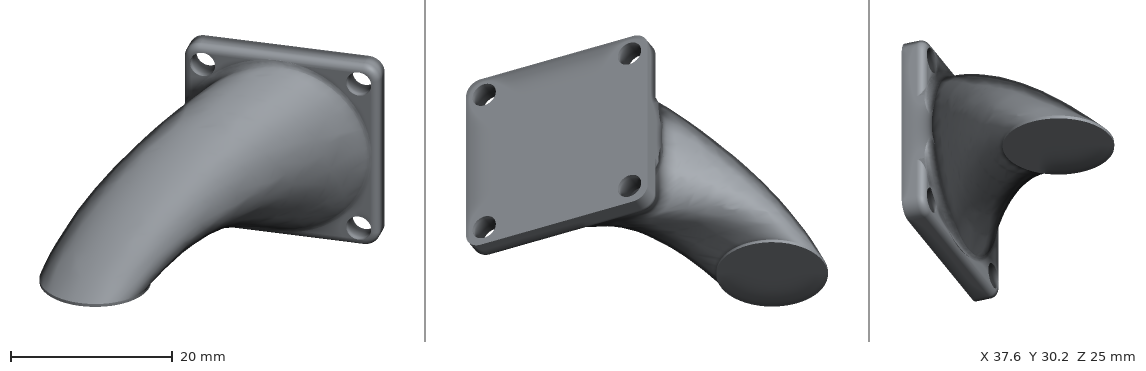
import cadquery as cq

PLATE_SIZE = 25.0
PLATE_THICKNESS = 3.0
CORNER_RADIUS = 2.0
EDGE_RADIUS = 1.0
HOLE_SPACING = 20.0
HOLE_DIAMETER = 3.2

DUCT_REACH_X = 25.08
DUCT_REACH_Y = 30.16
INLET_RADIUS = 11.4
OUTLET_RADIUS = 6.9
OUTLET_X = OUTLET_RADIUS - DUCT_REACH_X
OUTLET_Y = OUTLET_RADIUS - DUCT_REACH_Y
OUTLET_Z = -11.2
LIP_HEIGHT = 0.4
BOW_X = -2.0
BOW_Z = 1.5
MIDDLE_SWELL = 0.15
SECTION_COUNT = 7

JOINT_RADIUS = 0.8
JOINT_REACH = 1.4
JOINT_BASE_SIZE = 2 * PLATE_SIZE


def workplane_at(y):
    """Workplane parallel to the plate whose extrusions grow towards -Y."""
    return cq.Workplane("XZ", origin=(0, y, 0))


def make_outline(back_y, depth):
    """Rounded square prism with the outline of the plate."""
    block = workplane_at(back_y).rect(PLATE_SIZE, PLATE_SIZE).extrude(depth)
    return block.edges("|Y").fillet(CORNER_RADIUS)


def make_plate():
    plate = make_outline(0, PLATE_THICKNESS)
    return plate.faces("<Y").edges().fillet(EDGE_RADIUS)


def duct_section(progress):
    """Ellipse part-way from the upright inlet circle (0) to the level outlet circle (1)."""
    rest = 1 - progress
    middle = 4 * progress * rest
    swell = MIDDLE_SWELL * middle
    lip_top = OUTLET_Z + LIP_HEIGHT
    center = cq.Vector(
        OUTLET_X * progress + BOW_X * middle,
        OUTLET_Y * progress - PLATE_THICKNESS * rest,
        lip_top * progress + BOW_Z * middle,
    )
    half_width = INLET_RADIUS * rest + OUTLET_RADIUS * progress + swell
    rise = cq.Vector(0, -OUTLET_RADIUS * progress, INLET_RADIUS * rest)
    across = cq.Vector(1, 0, 0)
    return cq.Wire.makeEllipse(half_width, rise.Length + swell, center, across.cross(rise), across)


def make_duct():
    sections = [duct_section(i / (SECTION_COUNT - 1)) for i in range(SECTION_COUNT)]
    return cq.Workplane(cq.Solid.makeLoft(sections))


def make_lip():
    """Short straight rim below the duct outlet."""
    outlet = cq.Workplane("XY", origin=(OUTLET_X, OUTLET_Y, OUTLET_Z))
    return outlet.circle(OUTLET_RADIUS).extrude(LIP_HEIGHT)


def make_joint(duct):
    """Root of the duct and its fillet, made on an oversized base and trimmed to the plate outline.

    A footing behind it fills the rounded plate edge wherever the fillet reaches that far.
    """
    base = workplane_at(0).rect(JOINT_BASE_SIZE, JOINT_BASE_SIZE).extrude(PLATE_THICKNESS)
    joined = base.union(duct)
    root_height = PLATE_THICKNESS + JOINT_REACH / 2
    root_box = cq.selectors.BoxSelector(
        (-INLET_RADIUS, -root_height, -INLET_RADIUS),
        (INLET_RADIUS, 0, INLET_RADIUS),
    )
    flared = joined.edges(root_box).fillet(JOINT_RADIUS)
    joint = flared.intersect(make_outline(-PLATE_THICKNESS, JOINT_REACH))
    footing = joint.faces(">Y").wires().toPending().workplane().extrude(EDGE_RADIUS)
    return joint.union(footing)


def make_holes():
    corners = workplane_at(0).rect(HOLE_SPACING, HOLE_SPACING, forConstruction=True).vertices()
    return corners.circle(HOLE_DIAMETER / 2).extrude(PLATE_THICKNESS)


duct = make_duct()
joint = make_joint(duct)
result = make_plate().union(joint).union(duct).union(make_lip()).cut(make_holes())